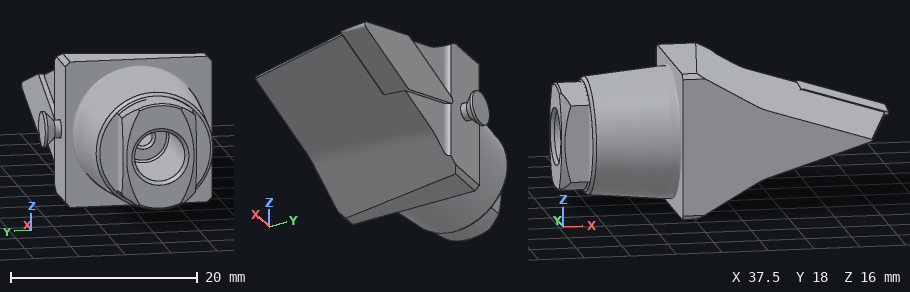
import cadquery as cq
import math


BLOCK_SIZE = 16.0
BLOCK_CHAMFER = 0.52
BLOCK_START = 12.4
HALF_BLOCK = BLOCK_SIZE / 2
RAKE_Y = HALF_BLOCK

CLEARANCE = 5.0
SHOULDER_ANGLE = 30.0
BLADE_ANGLE = 17.5
SHOULDER_START = 16.7
BLADE_APEX = 38.05
FLANK_RADIUS = 6.37
NOSE_SETBACK = 0.4

SHANK_START = 2.95
SHANK_CHAMFER_LENGTH = 0.35
SHANK_STEP_RADIUS = 6.05
SHANK_FRONT_RADIUS = 6.37
SHANK_BACK_RADIUS = 7.12
TAPER_END = 11.45
ROOT_FILLET = 0.2

NECK_RADIUS = 5.8
NECK_FLATS = 8.02
NECK_CHAMFER = 0.2
LEAD_RADIUS = 10.05
LEAD_AXIS_OFFSET = 6.37
LEAD_ANGLE = 51.0

BORE_RADIUS = 2.75
BORE_DEPTH = 9.75
BORE_MOUTH_CHAMFER = 0.37
BORE_FLOOR_CHAMFER = 0.22
PASSAGE_RADIUS = 1.0
PASSAGE_CHAMFER = 0.3

SCREW_X = 15.5
SCREW_RADIUS = 0.97
SCREW_LENGTH = 10.1
SCREW_PROUD = 1.95
SCREW_TOP = RAKE_Y + SCREW_PROUD
HEAD_RADIUS = 1.9
HEAD_RIM = 0.3
TIP_CHAMFER_LENGTH = 0.35
TIP_CHAMFER_DEPTH = 0.15
SCREW_HOLE_END = -1.5

INSERT_TIP = 37.48
INSERT_CORNER_RADIUS = 0.4
INSERT_INRADIUS = 3.2
INSERT_THICKNESS = 3.15

RECESS_START = 18.63
RECESS_DEPTH = 0.55
RECESS_FILLET = 0.5

PICK_MARGIN = 0.05

SHOULDER_SLOPE = math.tan(math.radians(SHOULDER_ANGLE))
BLADE_SLOPE = math.tan(math.radians(BLADE_ANGLE))
BLADE_SINE = math.sin(math.radians(BLADE_ANGLE))
APEX_RAKE = math.tan(math.radians(CLEARANCE)) / BLADE_SINE

INSERT_HALF_LENGTH = INSERT_INRADIUS / BLADE_SINE
INSERT_ROUNDING = INSERT_CORNER_RADIUS * (1 / BLADE_SINE - 1)
INSERT_CENTRE = INSERT_TIP + INSERT_ROUNDING - INSERT_HALF_LENGTH


def rake_plane():
    """Workplane on the +Y face: local x is X, local y is Z, extruding into the holder (-Y)."""
    return cq.Workplane("XZ", origin=(0, RAKE_Y, 0))


def block():
    length = BLADE_APEX - BLOCK_START
    bar = cq.Workplane("YZ", origin=(BLOCK_START, 0, 0)).rect(BLOCK_SIZE, BLOCK_SIZE).extrude(length)
    return bar.edges("|X").chamfer(BLOCK_CHAMFER)


def wedge():
    """Blade outline, drawn on the +Y face and relieved towards -Y."""
    back_x = BLOCK_START - BLOCK_SIZE / 4
    back_z = HALF_BLOCK + (SHOULDER_START - back_x) * SHOULDER_SLOPE
    shoulder_apex = SHOULDER_START + HALF_BLOCK / SHOULDER_SLOPE
    bend_x = (shoulder_apex * SHOULDER_SLOPE - BLADE_APEX * BLADE_SLOPE) / (SHOULDER_SLOPE - BLADE_SLOPE)
    bend_z = (BLADE_APEX - bend_x) * BLADE_SLOPE
    outline = [
        (back_x, -back_z),
        (bend_x, -bend_z),
        (BLADE_APEX, 0),
        (bend_x, bend_z),
        (back_x, back_z),
        (back_x, -back_z),
    ]
    bends = cq.selectors.BoxSelector(
        (bend_x - PICK_MARGIN, -back_z, -PICK_MARGIN),
        (bend_x + PICK_MARGIN, back_z, PICK_MARGIN),
    )
    profile = cq.Sketch().polygon(outline).vertices(bends).fillet(FLANK_RADIUS)
    return rake_plane().placeSketch(profile).extrude(BLOCK_SIZE, taper=CLEARANCE)


def leading_edge_cut():
    """Everything ahead of the narrow flat along the blade's leading edge."""
    top_x = BLADE_APEX - NOSE_SETBACK
    bottom_x = top_x - BLOCK_SIZE * APEX_RAKE
    far_x = BLADE_APEX + BLOCK_SIZE
    outline = [(top_x, HALF_BLOCK), (far_x, HALF_BLOCK), (far_x, -HALF_BLOCK), (bottom_x, -HALF_BLOCK)]
    return cq.Workplane("XY").polyline(outline).close().extrude(HALF_BLOCK, both=True)


def shank():
    """Tapered shank with a bevelled front and a flared root, running into the block."""
    chamfer_end = SHANK_START + SHANK_CHAMFER_LENGTH
    root_start = BLOCK_START - ROOT_FILLET
    root_radius = SHANK_BACK_RADIUS + ROOT_FILLET
    arc_dip = ROOT_FILLET * math.sqrt(0.5)
    return (
        cq.Workplane("XZ")
        .moveTo(SHANK_START, 0)
        .lineTo(SHANK_START, SHANK_STEP_RADIUS)
        .lineTo(chamfer_end, SHANK_FRONT_RADIUS)
        .lineTo(TAPER_END, SHANK_BACK_RADIUS)
        .lineTo(root_start, SHANK_BACK_RADIUS)
        .threePointArc((root_start + arc_dip, root_radius - arc_dip), (BLOCK_START, root_radius))
        .lineTo(BLOCK_START, 0)
        .close()
        .revolve(360, (0, 0, 0), (1, 0, 0))
    )


def neck():
    """Short cylinder with two wrench flats."""
    bar = cq.Workplane("YZ").circle(NECK_RADIUS).extrude(SHANK_START).faces("<X").chamfer(NECK_CHAMFER)
    return bar.intersect(cq.Workplane("YZ").rect(NECK_FLATS, 2 * NECK_RADIUS).extrude(SHANK_START))


def lead_cone(side):
    """Cone that keeps the bevelled neck end; side is +1 or -1 for the flat at +Y or -Y."""
    end_radius = LEAD_RADIUS + SHANK_START * math.tan(math.radians(LEAD_ANGLE))
    end_centre = cq.Vector(0, -side * LEAD_AXIS_OFFSET, 0)
    return cq.Solid.makeCone(LEAD_RADIUS, end_radius, SHANK_START, end_centre, cq.Vector(1, 0, 0))


def shank_with_neck():
    stem = shank().union(neck())
    step_face = stem.faces(cq.selectors.BoxSelector(
        (SHANK_START - PICK_MARGIN, -NECK_RADIUS, -NECK_RADIUS),
        (SHANK_START + PICK_MARGIN, NECK_RADIUS, NECK_RADIUS),
    ))
    neck_outline = step_face.val().innerWires()[0].Edges()
    stem = stem.newObject(neck_outline).fillet(ROOT_FILLET)
    slab = cq.Workplane("YZ").rect(BLOCK_SIZE, BLOCK_SIZE).extrude(SHANK_START - ROOT_FILLET)
    for side in (1, -1):
        stem = stem.cut(slab.cut(cq.Workplane(lead_cone(side))))
    return stem


def bore():
    """Stepped axial bore that ends on the axis of the screw hole."""
    return (
        cq.Workplane("XZ")
        .lineTo(0, BORE_RADIUS + BORE_MOUTH_CHAMFER)
        .lineTo(BORE_MOUTH_CHAMFER, BORE_RADIUS)
        .lineTo(BORE_DEPTH - BORE_FLOOR_CHAMFER, BORE_RADIUS)
        .lineTo(BORE_DEPTH, BORE_RADIUS - BORE_FLOOR_CHAMFER)
        .lineTo(BORE_DEPTH, PASSAGE_RADIUS + PASSAGE_CHAMFER)
        .lineTo(BORE_DEPTH + PASSAGE_CHAMFER, PASSAGE_RADIUS)
        .lineTo(SCREW_X, PASSAGE_RADIUS)
        .lineTo(SCREW_X, 0)
        .close()
        .revolve(360, (0, 0, 0), (1, 0, 0))
    )


def screw_hole():
    depth = RAKE_Y - SCREW_HOLE_END
    return rake_plane().center(SCREW_X, 0).circle(SCREW_RADIUS).extrude(depth)


def recess():
    """Shallow step in the +Y face, with a rounded inner corner along Z."""
    length = INSERT_TIP - RECESS_START
    cutter = cq.Workplane("XY").box(length, RECESS_DEPTH, BLOCK_SIZE, centered=(False, False, True))
    cutter = cutter.edges("<X and <Y").fillet(RECESS_FILLET)
    return cutter.translate((RECESS_START, RAKE_Y - RECESS_DEPTH, 0))


def seat():
    """Open front of the insert's seat, ahead of the insert's widest corners."""
    length = BLADE_APEX - INSERT_CENTRE
    cutter = cq.Workplane("XY").box(length, INSERT_THICKNESS, BLOCK_SIZE, centered=(False, False, True))
    return cutter.translate((INSERT_CENTRE, RAKE_Y - INSERT_THICKNESS, 0))


def make_insert():
    """Rhombic cutting insert, relieved on all sides, with its rake face on the +Y face."""
    half_width = INSERT_INRADIUS / math.cos(math.radians(BLADE_ANGLE))
    rhombus = [
        (INSERT_CENTRE - INSERT_HALF_LENGTH, 0),
        (INSERT_CENTRE, -half_width),
        (INSERT_CENTRE + INSERT_HALF_LENGTH, 0),
        (INSERT_CENTRE, half_width),
        (INSERT_CENTRE - INSERT_HALF_LENGTH, 0),
    ]
    profile = cq.Sketch().polygon(rhombus).vertices().fillet(INSERT_CORNER_RADIUS)
    return rake_plane().placeSketch(profile).extrude(INSERT_THICKNESS, taper=CLEARANCE)


def make_screw():
    """Countersunk screw along Y, standing proud of the +Y face."""
    tip_y = SCREW_TOP - SCREW_LENGTH
    rim_y = SCREW_TOP - HEAD_RIM
    cone_end_y = rim_y - (HEAD_RADIUS - SCREW_RADIUS)
    half_section = [
        (0, tip_y),
        (SCREW_RADIUS - TIP_CHAMFER_DEPTH, tip_y),
        (SCREW_RADIUS, tip_y + TIP_CHAMFER_LENGTH),
        (SCREW_RADIUS, cone_end_y),
        (HEAD_RADIUS, rim_y),
        (HEAD_RADIUS, SCREW_TOP),
        (0, SCREW_TOP),
    ]
    section = cq.Workplane("XY", origin=(SCREW_X, 0, 0)).polyline(half_section).close()
    return section.revolve(360, (0, 0, 0), (0, 1, 0))


def make_holder(seated_insert):
    body = block().intersect(wedge()).cut(leading_edge_cut()).cut(recess()).cut(seat())
    body = body.union(shank_with_neck())
    return body.cut(bore()).cut(screw_hole()).cut(seated_insert).solids()


insert = make_insert()
screw = make_screw()
holder = make_holder(insert)

result = cq.Compound.makeCompound([holder.val(), insert.val(), screw.val()])